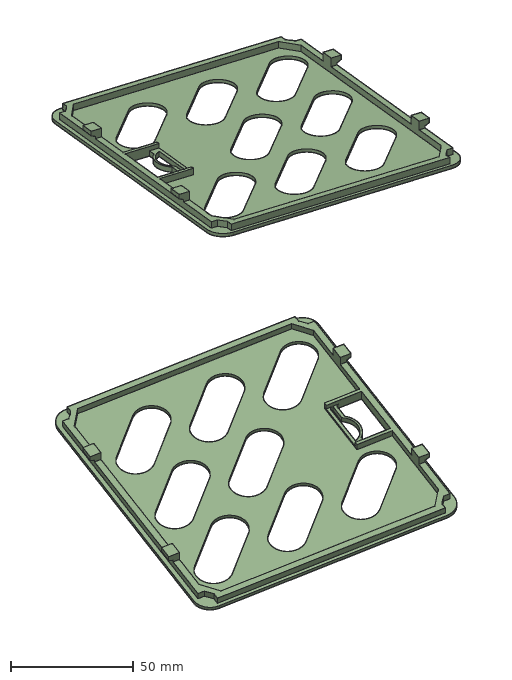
import cadquery as cq
import math

length_x = 129
length_y = 122.0
plate_thickness = 1.5
corner_radius = 7.7

rim_top = 4.5
rim_width = 3.0
rim_inset_x = 1.5
rim_inset_y = 2.0
notch_inset = 7.7
inner_chamfer_x = 7.7
inner_chamfer_y = 5.9

clip_top = 8.5
clip_width = 6.0
clip_spacing = 65.8
hook_tip_bottom = 6.5
hook_root = 5.4

slot_width = 16.0
slot_length = 40.1
slot_angle = -45
slot_pitch_along = 51.9
slot_pitch_across = 47.9
grid_steps = (-1, 0, 1)
latch_cell = (0, -1)

window_half_width = 12.1
window_wall = 1.5
window_back = -41.0
spring_top = 2.5
spring_thickness = 1.5
spring_gap = 1.5
bow_radius = 8.1
bow_thickness = 1.0
bow_x = -2.0
bow_y = -38.0
root_fillet = 1.0

half_x = length_x / 2
half_y = length_y / 2
rim_outer_x = half_x - rim_inset_x
rim_outer_y = half_y - rim_inset_y
rim_inner_x = rim_outer_x - rim_width
rim_inner_y = rim_outer_y - rim_width
notch_x = half_x - notch_inset
notch_y = half_y - notch_inset
window_front = -rim_inner_y
spring_back = window_back - spring_gap
spring_front = spring_back - spring_thickness


def block(x_min, x_max, y_min, y_max, z_min, z_max):
    size = (x_max - x_min, y_max - y_min, z_max - z_min)
    return cq.Workplane("XY").box(*size, centered=False).translate((x_min, y_min, z_min))


def mirrored_outline(corner):
    """Repeat the points of the +X +Y corner, listed counterclockwise, in all four corners."""
    points = list(corner)
    points += [(-x, y) for x, y in reversed(corner)]
    points += [(-x, -y) for x, y in corner]
    points += [(x, -y) for x, y in reversed(corner)]
    return points


def make_plate():
    plate = cq.Workplane("XY").rect(length_x, length_y).extrude(plate_thickness)
    return plate.edges("|Z").fillet(corner_radius)


def make_rim():
    outer_corner = [
        (rim_outer_x, notch_y),
        (rim_inner_x, notch_y),
        (notch_x, rim_inner_y),
        (notch_x, rim_outer_y),
    ]
    inner_corner = [
        (rim_inner_x, rim_inner_y - inner_chamfer_y),
        (rim_inner_x - inner_chamfer_x, rim_inner_y),
    ]
    outer = cq.Workplane("XY").polyline(mirrored_outline(outer_corner)).close().extrude(rim_top)
    inner = cq.Workplane("XY").polyline(mirrored_outline(inner_corner)).close().extrude(rim_top)
    return outer.cut(inner)


def make_clips():
    profile = [
        (rim_inner_y, plate_thickness),
        (rim_outer_y, plate_thickness),
        (rim_outer_y, hook_root),
        (half_y, hook_tip_bottom),
        (half_y, clip_top),
        (rim_inner_y, clip_top),
    ]
    clip = cq.Workplane("YZ").polyline(profile).close().extrude(clip_width / 2, both=True)
    clips = cq.Workplane("XY")
    for x in (-clip_spacing / 2, clip_spacing / 2):
        placed = clip.translate((x, 0, 0))
        clips = clips.add(placed).add(placed.mirror("XZ"))
    return clips.combine()


def make_slots():
    step_along = slot_pitch_along / math.sqrt(2)
    step_across = slot_pitch_across / math.sqrt(2)
    centers = []
    for column in grid_steps:
        for row in grid_steps:
            if (column, row) != latch_cell:
                along = (column - row) / 2 * step_along
                across = (column + row) / 2 * step_across
                centers.append((along + across, across - along))
    slots = cq.Workplane("XY").pushPoints(centers)
    return slots.slot2D(slot_length, slot_width, slot_angle).extrude(plate_thickness)


def make_root_fillet(y):
    """Concave corner fill between an edge facing -Y and the +X side of the window."""
    corner = block(window_half_width - root_fillet, window_half_width, y - root_fillet, y, 0, spring_top)
    round_cut = cq.Workplane("XY").center(window_half_width - root_fillet, y - root_fillet)
    return corner.cut(round_cut.circle(root_fillet).extrude(spring_top))


def make_window_opening():
    return block(-window_half_width, window_half_width, window_front, window_back, 0, plate_thickness)


def make_window_walls():
    wall_back = window_back + window_wall
    outer_x = window_half_width + window_wall
    left = block(-outer_x, -window_half_width, window_front, wall_back, 0, rim_top)
    strip = block(-window_half_width, window_half_width, window_back, wall_back, 0, spring_top)
    return left.union(left.mirror("YZ")).union(strip)


def make_spring():
    """Straight arm that bows out toward -Y below the back strip."""
    bow_center = cq.Workplane("XY").center(bow_x, bow_y)
    bow_outside = bow_center.circle(bow_radius + bow_thickness).extrude(spring_top)
    bow_inside = bow_center.circle(bow_radius).extrude(spring_top)
    below_strip = block(-window_half_width, window_half_width, window_front, window_back, 0, spring_top)
    anchor = block(-window_half_width, bow_x, spring_front, window_back, 0, spring_top)
    arm = block(bow_x, window_half_width, spring_front, spring_back, 0, spring_top)
    bow_right = block(bow_x, window_half_width, spring_back, window_back, 0, spring_top)
    bow = bow_outside.intersect(below_strip).cut(bow_right)
    return bow.union(anchor).union(arm).cut(bow_inside)


result = make_plate().union(make_rim()).union(make_clips())
result = result.cut(make_slots()).cut(make_window_opening())
result = result.union(make_window_walls()).union(make_spring())
for edge_y in (window_back, spring_front):
    result = result.union(make_root_fillet(edge_y))